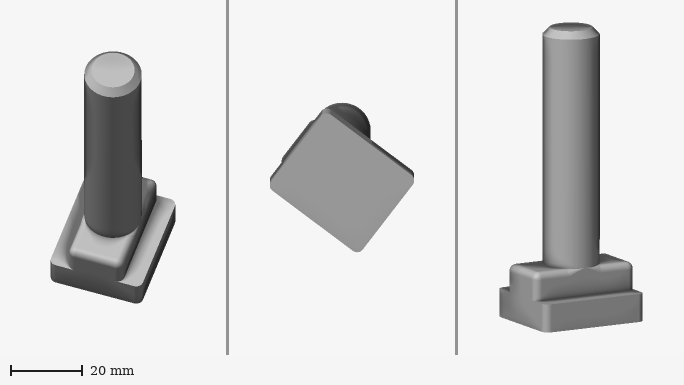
import cadquery as cq
import math

total_height = 83.0
head_width = 27.0
head_length = 32.0
head_height = 8.0
neck_height = 8.0
shank_diameter = 16.0
edge_size = 2.0

neck_width = shank_diameter
neck_length = head_length
neck_top = head_height + neck_height
shank_radius = shank_diameter / 2

runout_start = math.sqrt(shank_radius**2 - (shank_radius - edge_size) ** 2)
runout_tip = 0.3
tip_size = 0.04


def make_head():
    """Wide bottom plate with rounded vertical corners."""
    plate = cq.Workplane("XY").box(head_width, head_length, head_height, centered=(True, True, False))
    return plate.edges("|Z").fillet(edge_size)


def corner_section(y, radius):
    """Material outside a rounded neck edge: two straight sides closed by a quarter arc."""
    edge_x = neck_width / 2
    arc_middle = radius * (1 - math.sqrt(0.5))
    return (
        cq.Workplane("XZ", origin=(edge_x, y, neck_top))
        .moveTo(-radius, 0)
        .lineTo(0, 0)
        .lineTo(0, -radius)
        .threePointArc((-arc_middle, -arc_middle), (-radius, 0))
        .close()
        .wires()
        .val()
    )


def make_runout():
    """Cutter for one stretch of neck edge whose rounding shrinks towards the shank."""
    start = corner_section(runout_start, edge_size)
    tip = corner_section(runout_tip, tip_size)
    return cq.Workplane(cq.Solid.makeLoft([start, tip], True))


def make_neck():
    """Guide block with rounded edges; the top rounding fades out beside the shank."""
    neck = (
        cq.Workplane("XY")
        .workplane(offset=head_height)
        .box(neck_width, neck_length, neck_height, centered=(True, True, False))
        .edges("|Z or >Z")
        .fillet(edge_size)
    )
    square_middle = (
        cq.Workplane("XY")
        .workplane(offset=head_height)
        .box(neck_width, 2 * runout_start, neck_height, centered=(True, True, False))
    )
    neck = neck.union(square_middle)
    runout = make_runout()
    runout_pair = [runout, runout.mirror("XZ")]
    for cutter in runout_pair:
        neck = neck.cut(cutter).cut(cutter.mirror("YZ"))
    return neck


def make_shank():
    """Round shank with a chamfered tip, rooted at the top of the head."""
    shank_length = total_height - head_height
    shank = cq.Workplane("XY").workplane(offset=head_height).circle(shank_radius).extrude(shank_length)
    return shank.faces(">Z").chamfer(edge_size)


result = make_head().union(make_neck()).union(make_shank())